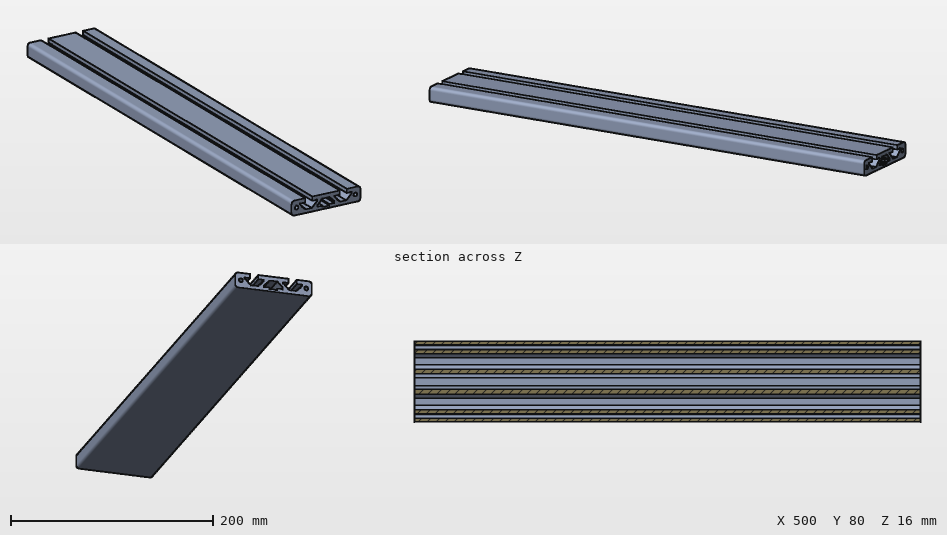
import cadquery as cq

length = 500.0
width = 80.0
height = 16.0
corner_radius = 3.5

slot_offset = width / 4
mouth_width = 8.5
lip_thickness = 4.5
cavity_width = 20.0
cavity_floor_width = 7.0
cavity_side_height = 1.0

hollow_roof_width = 8.0
hollow_width = 19.5
groove_width = 8.0
groove_depth = 1.5

bore_offset = 34.0
bore_diameter = 4.0

roof_z = height - lip_thickness
slot_floor_z = roof_z - cavity_side_height - (cavity_width - cavity_floor_width) / 2
hollow_shoulder_z = roof_z - (hollow_width - hollow_roof_width) / 2
hollow_floor_z = slot_floor_z
groove_floor_z = hollow_floor_z - groove_depth


def extrude_symmetric(half_outline, center_y=0.0):
    """Run a section along the bar, mirroring its (half width, z) points about center_y."""
    right = [(center_y + half, z) for half, z in half_outline]
    left = [(center_y - half, z) for half, z in reversed(half_outline)]
    section = cq.Workplane("YZ", origin=(-length / 2, 0, 0))
    return section.polyline(right + left).close().extrude(length)


def t_slot(center_y):
    return extrude_symmetric(
        [
            (mouth_width / 2, height),
            (mouth_width / 2, roof_z),
            (cavity_width / 2, roof_z),
            (cavity_width / 2, roof_z - cavity_side_height),
            (cavity_floor_width / 2, slot_floor_z),
        ],
        center_y,
    )


def central_hollow():
    return extrude_symmetric(
        [
            (hollow_roof_width / 2, roof_z),
            (hollow_width / 2, hollow_shoulder_z),
            (hollow_width / 2, hollow_floor_z),
            (groove_width / 2, hollow_floor_z),
            (groove_width / 2, groove_floor_z),
        ]
    )


def edge_bore(center_y):
    section = cq.Workplane("YZ", origin=(-length / 2, center_y, height / 2))
    return section.circle(bore_diameter / 2).extrude(length)


bar = cq.Workplane("XY").box(length, width, height, centered=(True, True, False))
bar = bar.edges("|X").fillet(corner_radius)

result = bar.cut(central_hollow())
for side in (-1, 1):
    result = result.cut(t_slot(side * slot_offset))
    result = result.cut(edge_bore(side * bore_offset))